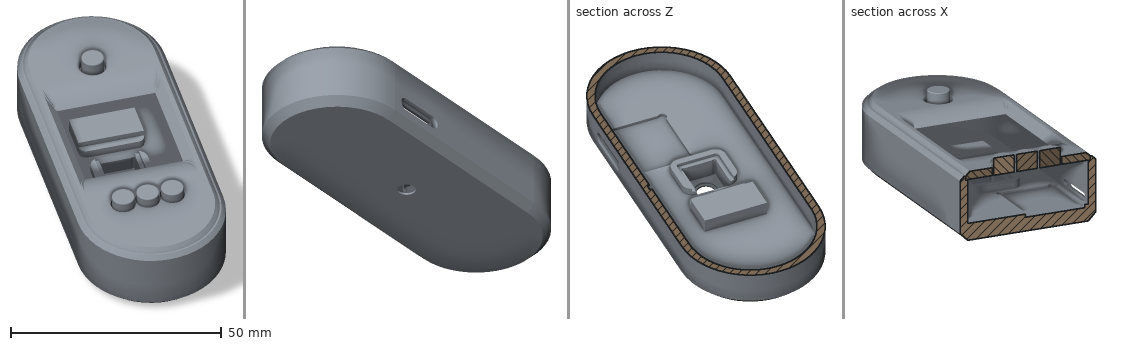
import cadquery as cq
import math

TOTAL_HEIGHT = 19.8
LID_TOP = 17.5
RIM_TOP = 16.4
LID_BOTTOM = 15.4
FLOOR_TOP = 4.4
BASE_THICKNESS = 0.9

LENGTH = 87.8
WIDTH = 35.7
BOTTOM_CHAMFER = 2.0
RIM_CHAMFER = RIM_TOP - LID_BOTTOM
CAVITY_WIDTH = 31.6

LID_WIDTH = 32.75
LID_CHAMFER = LID_TOP - RIM_TOP
LID_THICKNESS = LID_TOP - LID_BOTTOM

WINDOW_X = -1.0
WINDOW_Y = -0.1
WINDOW_OPENING = 24.85
END_ROLL_LENGTH = 7.2
END_ROLL_WIDTH = 27.9
SIDE_ROLL_RADIUS = 7.5
SIDE_WIDTH = 28.45

BUTTON_DIAMETER = 5.4
BUTTON_ROUNDING = 0.3
BUTTON_Y = -0.3
BUTTON_ROW_X = 24.3
BUTTON_PITCH = 6.1
BUTTON_HOLE = 6.0
BUTTON_ROW_Y = [BUTTON_Y + BUTTON_PITCH * step for step in (-1, 0, 1)]
SINGLE_BUTTON_X = -24.7
SINGLE_BUTTON_HOLE = 6.3
SINGLE_BUTTON_HOLE_ROUNDING = 0.9

SEAT_TOP = 6.4
SEAT_LENGTH = 11.4
SEAT_WIDTH = 14.05
SEAT_CORNER_RADIUS = 2.6
WELL_SIDE = 8.8
LEDGE_DEPTH = 0.9
LEDGE_WIDTH = 1.05
LEDGE_CORNER_RADIUS = 0.7
WELL_RELIEF_DIAMETER = 1.05
WELL_RELIEF_INSET = 0.35
BASE_HOLE = 4.5
BASE_COUNTERBORE = 5.6
BASE_COUNTERBORE_DEPTH = 0.4

BLOCK_WIDTH = 16.15
BLOCK_START_X = -17.6
BLOCK_STEP_X = -9.1
BLOCK_END_X = -7.3
BLOCK_TOP = 7.9
BLOCK_CORNER_RADIUS = 1.8

BOARD_START_X = 8.1
BOARD_START_Y = -0.3
BOARD_LENGTH = 17.6
BOARD_WIDTH = 14.75
BOARD_DEPTH = 0.8
BOARD_RELIEF_DIAMETER = 2.1
BOARD_RELIEF_INSET_X = 0.7
BOARD_RELIEF_INSET_Y = 0.5
SLOT_LENGTH = 11.8
SLOT_HEIGHT = 1.4
SLOT_BOTTOM = 5.0
SLOT_WALL = 0.8
SLOT_RECESS_MARGIN = 0.9

GROOVE_X = -3.4
GROOVE_WIDTH = 1.2
GROOVE_DEPTH = 0.5
GROOVE_BOTTOM = 6.6

STRAIGHT_LENGTH = LENGTH - WIDTH


def stadium(width, bottom, top):
    """Upright round-ended prism; all of them share the centres of their round ends."""
    outline = cq.Workplane("XY", origin=(0, 0, bottom)).slot2D(STRAIGHT_LENGTH + width, width)
    return outline.extrude(top - bottom)


def box(x_range, y_range, z_range):
    """Box between the given limits along each axis."""
    sizes = [end - start for start, end in (x_range, y_range, z_range)]
    corner = (x_range[0], y_range[0], z_range[0])
    return cq.Workplane("XY").box(*sizes, centered=False).translate(corner)


def cylinder(x, y, diameter, bottom, top):
    return cq.Workplane("XY", origin=(x, y, bottom)).circle(diameter / 2).extrude(top - bottom)


def make_shell():
    """Outer housing with its cavity and the recess for the lid."""
    shell = stadium(WIDTH, 0, RIM_TOP)
    shell = shell.faces("<Z").chamfer(BOTTOM_CHAMFER).faces(">Z").chamfer(RIM_CHAMFER)
    shell = shell.cut(stadium(CAVITY_WIDTH, FLOOR_TOP, LID_BOTTOM))
    return shell.cut(stadium(LID_WIDTH, LID_BOTTOM, RIM_TOP))


def add_sensor_seat(body):
    """Rounded pad with a ledge around a deep square well, and a hole through the base."""
    half_well = WELL_SIDE / 2
    half_ledge = half_well + LEDGE_WIDTH
    seat_end = SEAT_LENGTH - half_well
    pad = box((-half_well, seat_end), (-SEAT_WIDTH / 2, SEAT_WIDTH / 2), (FLOOR_TOP, SEAT_TOP))
    body = body.union(pad.edges("|Z").fillet(SEAT_CORNER_RADIUS))

    ledge = box((-half_well, half_ledge), (-half_ledge, half_ledge), (SEAT_TOP - LEDGE_DEPTH, SEAT_TOP))
    body = body.cut(ledge.edges("|Z and >X").fillet(LEDGE_CORNER_RADIUS))

    well = box((-half_well, half_well), (-half_well, half_well), (BASE_THICKNESS, SEAT_TOP))
    relief = half_well - WELL_RELIEF_INSET
    ledge_top = SEAT_TOP - LEDGE_DEPTH
    for x in (-relief, relief):
        for y in (-relief, relief):
            well = well.union(cylinder(x, y, WELL_RELIEF_DIAMETER, BASE_THICKNESS, ledge_top))
    body = body.cut(well)
    body = body.cut(cylinder(0, 0, BASE_HOLE, 0, BASE_THICKNESS))
    return body.cut(cylinder(0, 0, BASE_COUNTERBORE, BASE_THICKNESS - BASE_COUNTERBORE_DEPTH, BASE_THICKNESS))


def add_stepped_block(body):
    """Rounded low block with a higher step behind it."""
    y_range = (-BLOCK_WIDTH / 2, BLOCK_WIDTH / 2)
    low = box((BLOCK_START_X, BLOCK_END_X), y_range, (FLOOR_TOP, SEAT_TOP))
    low = low.edges("|Z and >X").fillet(BLOCK_CORNER_RADIUS)
    high = box((BLOCK_START_X, BLOCK_STEP_X), y_range, (FLOOR_TOP, BLOCK_TOP))
    return body.union(low).union(high)


def cut_board_pocket(body):
    """Shallow pocket for a board, with round reliefs at its corners."""
    end_x = BOARD_START_X + BOARD_LENGTH
    end_y = BOARD_START_Y + BOARD_WIDTH
    bottom = FLOOR_TOP - BOARD_DEPTH
    body = body.cut(box((BOARD_START_X, end_x), (BOARD_START_Y, end_y), (bottom, FLOOR_TOP)))
    for x in (BOARD_START_X + BOARD_RELIEF_INSET_X, end_x - BOARD_RELIEF_INSET_X):
        for y in (BOARD_START_Y + BOARD_RELIEF_INSET_Y, end_y - BOARD_RELIEF_INSET_Y):
            body = body.cut(cylinder(x, y, BOARD_RELIEF_DIAMETER, bottom, FLOOR_TOP))
    return body


def cut_connector_slot(body):
    """Round-ended slot through the +Y wall beside the board, recessed on the outside of the wall."""
    centre_x = BOARD_START_X + BOARD_LENGTH / 2
    centre_z = SLOT_BOTTOM + SLOT_HEIGHT / 2
    wall_thickness = (WIDTH - CAVITY_WIDTH) / 2
    outside = cq.Workplane("XZ", origin=(centre_x, WIDTH / 2, centre_z))
    slot = outside.slot2D(SLOT_LENGTH, SLOT_HEIGHT).extrude(wall_thickness)
    growth = 2 * SLOT_RECESS_MARGIN
    recess = outside.slot2D(SLOT_LENGTH + growth, SLOT_HEIGHT + growth).extrude(wall_thickness - SLOT_WALL)
    return body.cut(slot).cut(recess)


def cut_wall_groove(body):
    wall = CAVITY_WIDTH / 2
    x_range = (GROOVE_X - GROOVE_WIDTH / 2, GROOVE_X + GROOVE_WIDTH / 2)
    return body.cut(box(x_range, (wall, wall + GROOVE_DEPTH), (GROOVE_BOTTOM, LID_BOTTOM)))


def make_housing():
    body = make_shell()
    body = add_sensor_seat(body)
    body = add_stepped_block(body)
    body = cut_board_pocket(body)
    body = cut_connector_slot(body)
    return cut_wall_groove(body)


def window_cutter(roll_length, roll_radius, top_width):
    """Window shape whose ends leave the lid top tangentially and whose sides slope at 45 degrees."""
    inner = WINDOW_OPENING / 2
    outer = inner + roll_length
    half_angle = math.asin(roll_length / roll_radius) / 2
    mid_x = outer - roll_radius * math.sin(half_angle)
    mid_z = LID_TOP - roll_radius * (1 - math.cos(half_angle))
    profile = (
        cq.Workplane("XZ", origin=(WINDOW_X, WINDOW_Y + top_width / 2, 0))
        .moveTo(-outer, LID_TOP)
        .threePointArc((-mid_x, mid_z), (-inner, LID_BOTTOM))
        .lineTo(inner, LID_BOTTOM)
        .threePointArc((mid_x, mid_z), (outer, LID_TOP))
        .close()
        .extrude(top_width)
    )
    half_top = top_width / 2
    half_bottom = half_top - LID_THICKNESS
    slopes = (
        cq.Workplane("YZ", origin=(WINDOW_X - outer, WINDOW_Y, 0))
        .moveTo(-half_top, LID_TOP)
        .lineTo(half_top, LID_TOP)
        .lineTo(half_bottom, LID_BOTTOM)
        .lineTo(-half_bottom, LID_BOTTOM)
        .close()
        .extrude(2 * outer)
    )
    return profile.intersect(slopes)


def cut_window(body):
    """The long rolled ends, then the slightly wider opening with a tighter roll."""
    end_radius = (END_ROLL_LENGTH**2 + LID_THICKNESS**2) / (2 * LID_THICKNESS)
    side_roll_length = math.sqrt(LID_THICKNESS * (2 * SIDE_ROLL_RADIUS - LID_THICKNESS))
    body = body.cut(window_cutter(END_ROLL_LENGTH, end_radius, END_ROLL_WIDTH))
    return body.cut(window_cutter(side_roll_length, SIDE_ROLL_RADIUS, SIDE_WIDTH))


def make_lid():
    """Chamfered cover with the rounded hole of the single button, the window and a row of holes."""
    body = stadium(LID_WIDTH, LID_BOTTOM, LID_TOP).faces(">Z").chamfer(LID_CHAMFER)
    body = body.cut(cylinder(SINGLE_BUTTON_X, BUTTON_Y, SINGLE_BUTTON_HOLE, LID_BOTTOM, LID_TOP))
    body = body.faces(">Z").edges("%CIRCLE").edges(cq.selectors.RadiusNthSelector(0))
    body = body.fillet(SINGLE_BUTTON_HOLE_ROUNDING)
    body = cut_window(body)
    for y in BUTTON_ROW_Y:
        body = body.cut(cylinder(BUTTON_ROW_X, y, BUTTON_HOLE, LID_BOTTOM, LID_TOP))
    return body


def make_button(x, y):
    button = cylinder(x, y, BUTTON_DIAMETER, LID_BOTTOM, TOTAL_HEIGHT)
    return button.faces(">Z").edges().fillet(BUTTON_ROUNDING)


BUTTON_PLACES = [(SINGLE_BUTTON_X, BUTTON_Y)] + [(BUTTON_ROW_X, y) for y in BUTTON_ROW_Y]

housing = make_housing()
lid = make_lid()
buttons = [make_button(x, y) for x, y in BUTTON_PLACES]

result = cq.Compound.makeCompound([housing.val(), lid.val(), *[button.val() for button in buttons]])